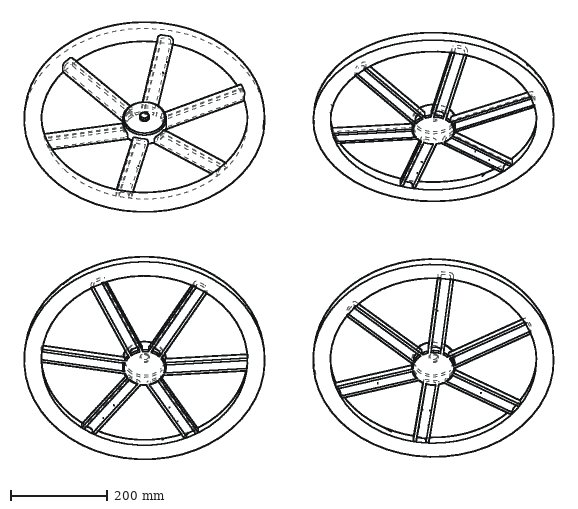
import cadquery as cq
import math

RIM_DIAMETER = 500.0
RIM_WIDTH = 36.0
RIM_BOTTOM_Z = 27.5
RIM_SHOULDER_Z = 42.5
RIM_BAND_HEIGHT = 3.0
RIM_WALL_LEAN = 1.0
RIM_TOP_Z = 59.5

HUB_DIAMETER = 90.0
HUB_HEIGHT = 35.5
HUB_CHAMFER = 3.0
PIN_DIAMETER = 20.0
PIN_TIP_DIAMETER = 16.0
PIN_HEIGHT = 8.0
PIN_TAPER_HEIGHT = 4.0

SPOKE_COUNT = 6
FIRST_SPOKE_ANGLE_DEGREES = 30.0
SPOKE_WIDTH = 32.5
SPOKE_HEIGHT = 20.0
SPOKE_FILLET = 8.0
SPOKE_SLOPE_DEGREES = 9.7
CHANNEL_WIDTH = 20.0
CHANNEL_HEIGHT = 14.0
CHANNEL_FILLET = 5.0

RIM_RADIUS = RIM_DIAMETER / 2
RIM_INNER_RADIUS = RIM_RADIUS - RIM_WIDTH
RIM_MIDDLE_RADIUS = RIM_RADIUS - RIM_WIDTH / 2
HUB_RADIUS = HUB_DIAMETER / 2
HUB_BASE_RADIUS = HUB_RADIUS - HUB_CHAMFER


def make_rim():
    profile = (
        cq.Workplane("XZ")
        .moveTo(RIM_INNER_RADIUS, RIM_BOTTOM_Z)
        .lineTo(RIM_RADIUS, RIM_BOTTOM_Z)
        .lineTo(RIM_RADIUS, RIM_BOTTOM_Z + RIM_BAND_HEIGHT)
        .lineTo(RIM_RADIUS - RIM_WALL_LEAN, RIM_SHOULDER_Z)
        .threePointArc((RIM_MIDDLE_RADIUS, RIM_TOP_Z), (RIM_INNER_RADIUS, RIM_SHOULDER_Z))
        .close()
    )
    return profile.revolve(360, (0, 0, 0), (0, 1, 0))


def make_hub():
    return cq.Workplane("XY").circle(HUB_RADIUS).extrude(HUB_HEIGHT).edges().chamfer(HUB_CHAMFER)


def make_pin():
    pin = cq.Workplane("XY").workplane(offset=HUB_HEIGHT).circle(PIN_DIAMETER / 2).extrude(PIN_HEIGHT)
    return pin.faces(">Z").chamfer(PIN_TAPER_HEIGHT, (PIN_DIAMETER - PIN_TIP_DIAMETER) / 2)


def inclined_bar(width, height, fillet):
    """Bar along +X with rounded top edges, from the Z axis to the middle of the rim.

    Its underside climbs outward from the edge of the hub base.
    """
    half_width = width / 2
    shoulder = height - fillet
    section = (
        cq.Workplane("YZ")
        .moveTo(-half_width, 0)
        .lineTo(half_width, 0)
        .lineTo(half_width, shoulder)
        .radiusArc((half_width - fillet, height), -fillet)
        .lineTo(fillet - half_width, height)
        .radiusArc((-half_width, shoulder), -fillet)
        .close()
    )
    rise_per_length = math.tan(math.radians(SPOKE_SLOPE_DEGREES))
    start = cq.Vector(0, 0, -HUB_BASE_RADIUS * rise_per_length)
    end = cq.Vector(RIM_MIDDLE_RADIUS, 0, (RIM_MIDDLE_RADIUS - HUB_BASE_RADIUS) * rise_per_length)
    solid = cq.Solid.extrudeLinear(section.val(), [], end - start)
    return cq.Workplane(obj=solid.translate(start))


def make_spoke():
    """Open-bottomed channel along +X, clear of the hub core and of everything below Z = 0."""
    bar = inclined_bar(SPOKE_WIDTH, SPOKE_HEIGHT, SPOKE_FILLET)
    channel = inclined_bar(CHANNEL_WIDTH, CHANNEL_HEIGHT, CHANNEL_FILLET)
    hub_space = cq.Workplane("XY").circle(HUB_BASE_RADIUS).extrude(HUB_HEIGHT, both=True)
    above_base = cq.Workplane("XY").circle(RIM_RADIUS).extrude(RIM_TOP_Z)
    return bar.cut(channel).cut(hub_space).intersect(above_base)


result = make_rim().union(make_hub()).union(make_pin())
spoke = make_spoke()
for index in range(SPOKE_COUNT):
    angle = FIRST_SPOKE_ANGLE_DEGREES + index * 360 / SPOKE_COUNT
    result = result.union(spoke.rotate((0, 0, 0), (0, 0, 1), angle))